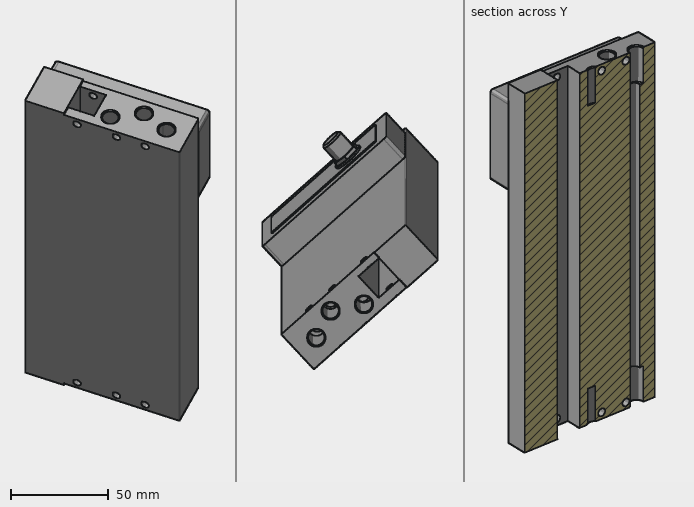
import cadquery as cq
import math

BLOCK_WIDTH = 86.0
BLOCK_DEPTH = 25.0
BLOCK_HEIGHT = 213.0
STEP_X = 21.7
STEP_DROP = 1.3
LONG_EDGE_RADIUS = 0.5

CHANNEL_WIDTH = 14.5
CHANNEL_DEPTH = 15.3
CHANNEL_FRONT_WALL = 5.5

PASSAGES = [
    (44.0, 8.0, 45.0, 8.0),
    (59.0, 17.0, 59.0, 17.0),
    (74.0, 11.5, 72.8, 12.0),
]
PORT_DIAMETER = 8.3
PORT_DEPTH = 21.3
PORT_CHAMFER = 0.6
BORE_DIAMETER = 6.2

MOUNT_DIAMETER = 4.3
MOUNT_X = [29.0, 51.0, 66.9]
MOUNT_END_DISTANCE = 5.3

HOUSING_DEPTH = 14.5
HOUSING_HEIGHT = 53.7
HOUSING_TOP_GAP = 10.5
HOUSING_CORNER_RADIUS = 2.0
HOUSING_CENTRE_Z = BLOCK_HEIGHT - HOUSING_TOP_GAP - HOUSING_HEIGHT / 2
HOUSING_REAR_Y = BLOCK_DEPTH + HOUSING_DEPTH

LABEL_WIDTH = 72.0
LABEL_HEIGHT = 34.7
LABEL_THICKNESS = 0.6

OVERALL_DEPTH = 53.7
CONNECTOR_X = 25.5
CONNECTOR_TOP_GAP = 40.5
CONNECTOR_Z = BLOCK_HEIGHT - CONNECTOR_TOP_GAP
FLANGE_DIAMETER = 16.5
FLANGE_THICKNESS = 1.7
HEX_ACROSS_FLATS = 13.2
HEX_THICKNESS = 2.1
BARREL_DIAMETER = 12.0
BARREL_CHAMFER_LENGTH = 1.0
BARREL_CHAMFER_WIDTH = 0.9


def rear_plane(x, y, z):
    """Workplane facing +Y, with its local Y along +Z."""
    return cq.Workplane(cq.Plane(origin=(x, y, z), xDir=(-1, 0, 0), normal=(0, 1, 0)))


def make_block():
    """Block with both ends lowered to the right of the step."""
    low_z = STEP_DROP
    high_z = BLOCK_HEIGHT - STEP_DROP
    low_width = BLOCK_WIDTH - STEP_X
    tall = cq.Workplane("XY").box(STEP_X, BLOCK_DEPTH, BLOCK_HEIGHT, centered=False)
    low = (
        cq.Workplane("XY", origin=(STEP_X, 0, low_z))
        .box(low_width, BLOCK_DEPTH, high_z - low_z, centered=False)
    )
    return tall.union(low).edges("|Z and (<X or >X)").fillet(LONG_EDGE_RADIUS)


def make_channel():
    return (
        cq.Workplane("XY", origin=(STEP_X, CHANNEL_FRONT_WALL, 0))
        .box(CHANNEL_WIDTH, CHANNEL_DEPTH, BLOCK_HEIGHT, centered=False)
    )


def make_port(x, y):
    """Port cutter for the top end, with a chamfered mouth."""
    top_z = BLOCK_HEIGHT - STEP_DROP
    return (
        cq.Workplane("XY", origin=(x, y, top_z))
        .circle(PORT_DIAMETER / 2)
        .extrude(-PORT_DEPTH)
        .union(
            cq.Workplane("XY", origin=(x, y, top_z))
            .circle(PORT_DIAMETER / 2 + PORT_CHAMFER)
            .extrude(-PORT_CHAMFER, taper=45)
        )
    )


def make_passage(port_x, port_y, bore_x, bore_y):
    """Narrow bore through the full height with a wider port at each end."""
    bore = cq.Workplane("XY", origin=(bore_x, bore_y, 0)).circle(BORE_DIAMETER / 2).extrude(BLOCK_HEIGHT)
    top_port = make_port(port_x, port_y)
    bottom_port = top_port.mirror("XY", (0, 0, BLOCK_HEIGHT / 2))
    return bore.union(top_port).union(bottom_port)


def make_mount_holes():
    places = []
    for x in MOUNT_X:
        places.append((x, MOUNT_END_DISTANCE))
        places.append((x, BLOCK_HEIGHT - MOUNT_END_DISTANCE))
    return cq.Workplane("XZ").pushPoints(places).circle(MOUNT_DIAMETER / 2).extrude(-BLOCK_DEPTH)


def make_housing():
    """Housing with rounded corners, carrying the label plate."""
    centre_x = BLOCK_WIDTH / 2
    housing = (
        rear_plane(centre_x, BLOCK_DEPTH, HOUSING_CENTRE_Z)
        .rect(BLOCK_WIDTH, HOUSING_HEIGHT)
        .extrude(HOUSING_DEPTH)
        .edges("|Y")
        .fillet(HOUSING_CORNER_RADIUS)
    )
    label = (
        rear_plane(centre_x, HOUSING_REAR_Y, HOUSING_CENTRE_Z)
        .rect(LABEL_WIDTH, LABEL_HEIGHT)
        .extrude(LABEL_THICKNESS)
    )
    return housing.union(label)


def make_connector():
    """Flange, hexagon and barrel stacked along +Y."""
    flange_rear_y = HOUSING_REAR_Y + FLANGE_THICKNESS
    barrel_y = flange_rear_y + HEX_THICKNESS
    hex_across_corners = HEX_ACROSS_FLATS / math.cos(math.pi / 6)
    flange = (
        rear_plane(CONNECTOR_X, HOUSING_REAR_Y, CONNECTOR_Z)
        .circle(FLANGE_DIAMETER / 2)
        .extrude(FLANGE_THICKNESS)
    )
    hexagon = (
        rear_plane(CONNECTOR_X, flange_rear_y, CONNECTOR_Z)
        .transformed(rotate=(0, 0, 90))
        .polygon(6, hex_across_corners)
        .extrude(HEX_THICKNESS)
    )
    barrel = (
        rear_plane(CONNECTOR_X, barrel_y, CONNECTOR_Z)
        .circle(BARREL_DIAMETER / 2)
        .extrude(OVERALL_DEPTH - barrel_y)
        .faces(">Y")
        .chamfer(BARREL_CHAMFER_LENGTH, BARREL_CHAMFER_WIDTH)
    )
    return flange.union(hexagon).union(barrel)


block = make_block().cut(make_channel()).cut(make_mount_holes())
for passage in PASSAGES:
    block = block.cut(make_passage(*passage))

result = block.union(make_housing()).union(make_connector())